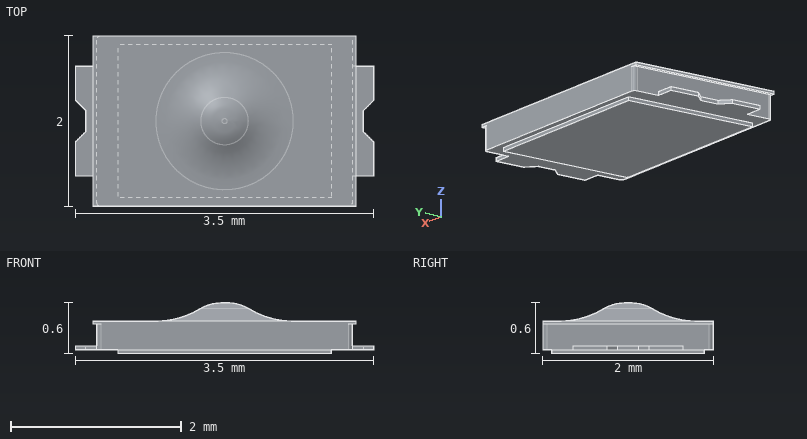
import cadquery as cq
import math

overall_length = 3.5
overall_width = 2.0
overall_height = 0.6

pad_length = 2.502
pad_width = 1.792
pad_height = 0.045

body_length = 3.0
body_height = 0.3
corner_radius = 0.05
film_length = 3.087
film_thickness = 0.035
body_top = pad_height + body_height
film_top = body_top + film_thickness

terminal_width = 1.288
terminal_thickness = 0.045
notch_mouth_width = 0.49
notch_floor_width = 0.245
notch_depth = 0.122

tip_radius = 0.03
crown_radius = 0.2782
dome_radius = 0.805
dome_height = overall_height - film_top
crown_height = 0.065


def slab(length, width, height, base):
    """Block centred on the Z axis, standing on the given level."""
    return cq.Workplane("XY").workplane(offset=base).rect(length, width).extrude(height)


def arc_sagitta(run, rise, distance):
    """Drop, at a distance from the level end, of an arc that spans run and rise."""
    radius = (run**2 + rise**2) / (2 * rise)
    return radius - math.sqrt(radius**2 - distance**2)


def make_terminals():
    """Full-length strip with a notch cut into each end."""
    strip = slab(overall_length, terminal_width, terminal_thickness, pad_height)
    end = overall_length / 2
    mouth = notch_mouth_width / 2
    floor = notch_floor_width / 2
    for side in (-1, 1):
        notch = (
            cq.Workplane("XY")
            .workplane(offset=pad_height)
            .moveTo(side * end, -mouth)
            .lineTo(side * (end - notch_depth), -floor)
            .lineTo(side * (end - notch_depth), floor)
            .lineTo(side * end, mouth)
            .close()
            .extrude(terminal_thickness)
        )
        strip = strip.cut(notch)
    return strip


def make_dome():
    """Revolved dome whose arcs run level at the tip and at the rim."""
    skirt_height = dome_height - crown_height
    crown_run = crown_radius - tip_radius
    skirt_run = dome_radius - crown_radius
    crown_middle = (
        tip_radius + crown_run / 2,
        overall_height - arc_sagitta(crown_run, crown_height, crown_run / 2),
    )
    skirt_middle = (
        dome_radius - skirt_run / 2,
        film_top + arc_sagitta(skirt_run, skirt_height, skirt_run / 2),
    )
    return (
        cq.Workplane("XZ")
        .moveTo(0, body_top)
        .lineTo(0, overall_height)
        .lineTo(tip_radius, overall_height)
        .threePointArc(crown_middle, (crown_radius, film_top + skirt_height))
        .threePointArc(skirt_middle, (dome_radius, film_top))
        .lineTo(dome_radius, body_top)
        .close()
        .revolve(360, (0, 0), (0, 1))
    )


pad = slab(pad_length, pad_width, pad_height, 0)
body = slab(body_length, overall_width, body_height, pad_height).edges("|Z").fillet(corner_radius)
film = slab(film_length, overall_width, film_thickness, body_top)

result = pad.union(body).union(make_terminals()).union(film).union(make_dome())